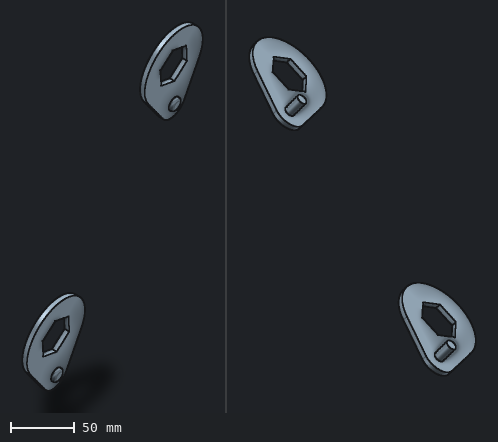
import cadquery as cq
import math

SPAN_Y = 220.0
SPAN_Z = 286.5

HUB_RADIUS = 36.5
TIP_RADIUS = 15.0
PIN_DROP = 44.5
PLATE_THICKNESS = 5.0

HEX_ACROSS_CORNERS = 37.2
HEX_TILT = 2.5

PIN_DIAMETER = 9.0
PIN_LENGTH = 16.0
HEAD_DIAMETER = 12.5
HEAD_HEIGHT = 3.2
HEAD_ROUNDING = 2.3

LEVER_HEIGHT = HUB_RADIUS + PIN_DROP + TIP_RADIUS
PITCH_Y = SPAN_Y - 2 * HUB_RADIUS
PITCH_Z = SPAN_Z - LEVER_HEIGHT


def make_plate():
    """Two arcs joined by their common tangents, centred on the hub; X from 0 to the thickness."""
    tangent_sin = (HUB_RADIUS - TIP_RADIUS) / PIN_DROP
    tangent_cos = math.sqrt(1 - tangent_sin**2)
    hub_y = HUB_RADIUS * tangent_cos
    hub_z = -HUB_RADIUS * tangent_sin
    tip_y = TIP_RADIUS * tangent_cos
    tip_z = -PIN_DROP - TIP_RADIUS * tangent_sin
    return (
        cq.Workplane("YZ")
        .moveTo(hub_y, hub_z)
        .threePointArc((0, HUB_RADIUS), (-hub_y, hub_z))
        .lineTo(-tip_y, tip_z)
        .threePointArc((0, -PIN_DROP - TIP_RADIUS), (tip_y, tip_z))
        .close()
        .extrude(PLATE_THICKNESS)
    )


def make_hex_cutter():
    """Hexagonal prism with a corner near the top, tilted slightly about the hub axis."""
    corner_up = 90
    return (
        cq.Workplane("YZ")
        .polygon(6, HEX_ACROSS_CORNERS)
        .extrude(PLATE_THICKNESS)
        .rotate((0, 0, 0), (1, 0, 0), corner_up + HEX_TILT)
    )


def make_pin():
    """Plain pin on the -X face of the plate."""
    return (
        cq.Workplane("YZ")
        .center(0, -PIN_DROP)
        .circle(PIN_DIAMETER / 2)
        .extrude(-PIN_LENGTH)
    )


def make_head():
    """Low head on the +X face of the plate, rounded at its outer rim."""
    return (
        cq.Workplane("YZ", origin=(PLATE_THICKNESS, 0, 0))
        .center(0, -PIN_DROP)
        .circle(HEAD_DIAMETER / 2)
        .extrude(HEAD_HEIGHT)
        .faces(">X")
        .edges()
        .fillet(HEAD_ROUNDING)
    )


def make_lever():
    """One solid lever: plate with hexagonal opening, pin and head."""
    return make_plate().cut(make_hex_cutter()).union(make_pin()).union(make_head())


lever = make_lever()
levers = []
for side in (-1, 1):
    placed = lever.translate((0, side * PITCH_Y / 2, side * PITCH_Z / 2))
    levers.append(placed.val())

result = cq.Compound.makeCompound(levers)